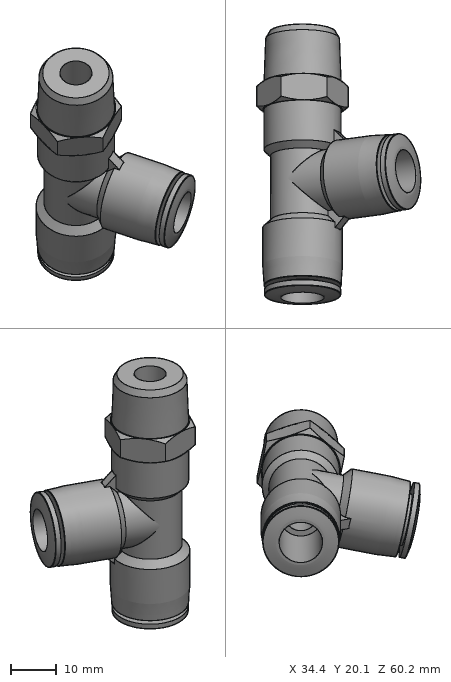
import cadquery as cq
import math

NECK_R = 7.05
PASSAGE_R = 7.0 / 2
RUN_TOP = 34.6

SOCKET_R = 17.5 / 2
SOCKET_END_R = 17.0 / 2
SOCKET_TAPER_R = 8.55
NECK_END = 8.1
SHOULDER_END = 9.75
TAPER_START = 18.5
TAPER_END = 21.45
SOCKET_END = 22.9
EDGE_BREAK = 0.1
SLEEVE_R = 5.85
SLEEVE_TAPER_START = 23.4
SLEEVE_TAPER_R = 11.5 / 2
FLANGE_R = 16.8 / 2
FLANGE_START = 23.7
FLANGE_EDGE_END = 25.0
SOCKET_LENGTH = 25.6
FLANGE_FACE_R = 5.4
FLANGE_MID_R = 6.9
FLANGE_MID = 25.35
TUBE_R = 9.5 / 2

BODY_R = 17.0 / 2
BODY_CONE_START = 6.55
BODY_START = 8.0
THREAD_TOP_R = 8.1
TIP_R = 7.3
TIP_CHAMFER_H = 1.5

HEX_FLATS = 17.45
HEX_BOTTOM = 17.05
HEX_TOP = 23.05
HEX_CHAMFER_ANGLE = 30

RIB_WIDTH = 2.4
RIB_REACH = 19.7


def socket():
    """Neck and push-in socket along +Z, starting at the origin."""
    profile = (
        cq.Workplane("XZ")
        .lineTo(NECK_R, 0)
        .lineTo(NECK_R, NECK_END)
        .lineTo(SOCKET_R, SHOULDER_END)
        .lineTo(SOCKET_R, TAPER_START)
        .lineTo(SOCKET_TAPER_R, TAPER_END)
        .lineTo(SOCKET_END_R, SOCKET_END - EDGE_BREAK)
        .lineTo(SOCKET_END_R - EDGE_BREAK, SOCKET_END)
        .lineTo(SLEEVE_R, SOCKET_END)
        .lineTo(SLEEVE_R, SLEEVE_TAPER_START)
        .lineTo(SLEEVE_TAPER_R, FLANGE_START)
        .lineTo(FLANGE_R, FLANGE_START)
        .lineTo(FLANGE_R, FLANGE_EDGE_END - EDGE_BREAK)
        .lineTo(FLANGE_R - EDGE_BREAK, FLANGE_EDGE_END)
        .threePointArc((FLANGE_MID_R, FLANGE_MID), (FLANGE_FACE_R, SOCKET_LENGTH))
        .lineTo(0, SOCKET_LENGTH)
        .close()
    )
    return profile.revolve(360, (0, 0), (0, 1))


def socket_bore():
    """Narrow passage along +Z, opening into the tube seat."""
    passage = cq.Workplane("XY").circle(PASSAGE_R).extrude(SOCKET_LENGTH)
    seat_depth = SOCKET_LENGTH - SHOULDER_END
    seat = cq.Workplane("XY").workplane(offset=SHOULDER_END).circle(TUBE_R).extrude(seat_depth)
    return passage.union(seat)


def point_down(shape):
    return shape.rotate((0, 0, 0), (1, 0, 0), 180)


def point_along_branch(shape):
    return shape.rotate((0, 0, 0), (0, 1, 0), 90)


def stud():
    """Upper run: neck, shouldered body and tapered thread."""
    profile = (
        cq.Workplane("XZ")
        .lineTo(NECK_R, 0)
        .lineTo(NECK_R, BODY_CONE_START)
        .lineTo(BODY_R, BODY_START)
        .lineTo(BODY_R, HEX_TOP)
        .lineTo(THREAD_TOP_R, RUN_TOP - TIP_CHAMFER_H)
        .lineTo(TIP_R, RUN_TOP)
        .lineTo(0, RUN_TOP)
        .close()
    )
    return profile.revolve(360, (0, 0), (0, 1))


def hexagon():
    """Hexagon with corners on Y, its corners chamfered at both ends."""
    flat_r = HEX_FLATS / 2
    corner_r = flat_r / math.cos(math.radians(30))
    drop = (corner_r - flat_r) * math.tan(math.radians(HEX_CHAMFER_ANGLE))
    prism = (
        cq.Workplane("XY")
        .workplane(offset=HEX_BOTTOM)
        .polygon(6, 2 * corner_r)
        .extrude(HEX_TOP - HEX_BOTTOM)
        .rotate((0, 0, 0), (0, 0, 1), 30)
    )
    chamfer_cones = (
        cq.Workplane("XZ")
        .moveTo(0, HEX_BOTTOM)
        .lineTo(flat_r, HEX_BOTTOM)
        .lineTo(corner_r, HEX_BOTTOM + drop)
        .lineTo(corner_r, HEX_TOP - drop)
        .lineTo(flat_r, HEX_TOP)
        .lineTo(0, HEX_TOP)
        .close()
        .revolve(360, (0, 0), (0, 1))
    )
    return prism.intersect(chamfer_cones)


def ribs():
    """Flat web filling both corners between the run and the branch."""
    outline = cq.Workplane("XZ").polyline([(0, -RIB_REACH), (RIB_REACH, 0), (0, RIB_REACH)]).close()
    return outline.extrude(RIB_WIDTH / 2, both=True)


body = stud().union(hexagon()).union(ribs())
bores = cq.Workplane("XY").circle(PASSAGE_R).extrude(RUN_TOP)
for place in (point_down, point_along_branch):
    body = body.union(place(socket()))
    bores = bores.union(place(socket_bore()))

result = body.cut(bores)